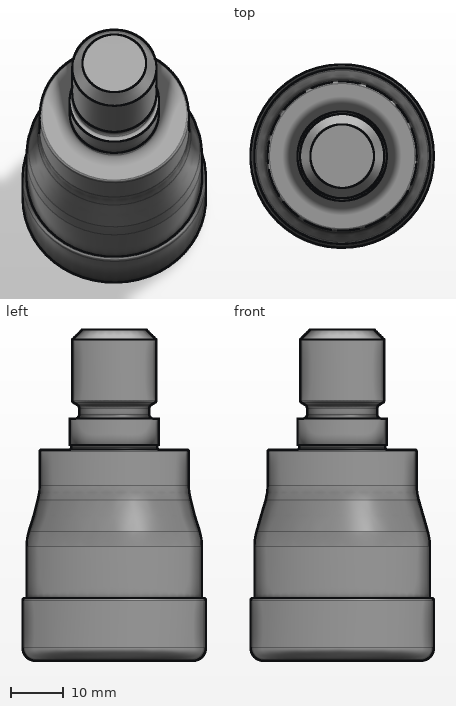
import cadquery as cq
import math

cap_radius = 17.45
cap_height = 12.0
cap_bottom_fillet = 2.5
cap_top_fillet = 0.5

barrel_radius = 16.7
barrel_top = 23.2
throat_radius = 14.2
throat_bottom = 31.95
throat_top = 40.1
taper_blend_radius = 10.0
throat_top_fillet = 0.4

neck_radius = 8.2
neck_foot_fillet = 0.4
collar_radius = 8.5
collar_bottom = 41.0
collar_top = 46.05
groove_radius = 6.7
groove_fillet = 0.75
shank_radius = 8.0
shank_bottom = 49.2
shank_bottom_fillet = 0.5
undercut_angle = 30
shank_chamfer = 1.95
stud_top = 63.0

SELECT_MARGIN = 0.05


def revolve_profile(points):
    """Turn a closed (radius, height) outline about the Z axis."""
    return cq.Workplane("XZ").polyline(points).close().revolve(360, (0, 0, 0), (0, 1, 0))


def fillet_circle(body, radius, height, fillet_radius):
    """Round the circular edge of the given radius and height."""
    reach = radius + SELECT_MARGIN
    edge_box = cq.selectors.BoxSelector(
        (-reach, -reach, height - SELECT_MARGIN),
        (reach, reach, height + SELECT_MARGIN),
        boundingbox=True,
    )
    inner_reach = radius - SELECT_MARGIN
    inner_box = cq.selectors.BoxSelector(
        (-inner_reach, -inner_reach, height - SELECT_MARGIN),
        (inner_reach, inner_reach, height + SELECT_MARGIN),
        boundingbox=True,
    )
    return body.edges(edge_box - inner_box).fillet(fillet_radius)


def make_cap():
    cap = cq.Workplane("XY").circle(cap_radius).extrude(cap_height)
    cap = cap.faces(">Z").edges().fillet(cap_top_fillet)
    return cap.faces("<Z").edges().fillet(cap_bottom_fillet)


def make_stud():
    groove_top = shank_bottom - (shank_radius - groove_radius) * math.tan(math.radians(undercut_angle))
    stud = revolve_profile([
        (0, cap_height),
        (barrel_radius, cap_height),
        (barrel_radius, barrel_top),
        (throat_radius, throat_bottom),
        (throat_radius, throat_top),
        (neck_radius, throat_top),
        (neck_radius, collar_bottom),
        (collar_radius, collar_bottom),
        (collar_radius, collar_top),
        (groove_radius, collar_top),
        (groove_radius, groove_top),
        (shank_radius, shank_bottom),
        (shank_radius, stud_top - shank_chamfer),
        (shank_radius - shank_chamfer, stud_top),
        (0, stud_top),
    ])
    stud = fillet_circle(stud, barrel_radius, barrel_top, taper_blend_radius)
    stud = fillet_circle(stud, throat_radius, throat_bottom, taper_blend_radius)
    stud = fillet_circle(stud, throat_radius, throat_top, throat_top_fillet)
    stud = fillet_circle(stud, neck_radius, throat_top, neck_foot_fillet)
    stud = fillet_circle(stud, groove_radius, collar_top, groove_fillet)
    stud = fillet_circle(stud, shank_radius, shank_bottom, shank_bottom_fillet)
    return fillet_circle(stud, groove_radius, groove_top, groove_fillet)


cap = make_cap()
stud = make_stud()
result = cq.Compound.makeCompound([cap.val(), stud.val()])